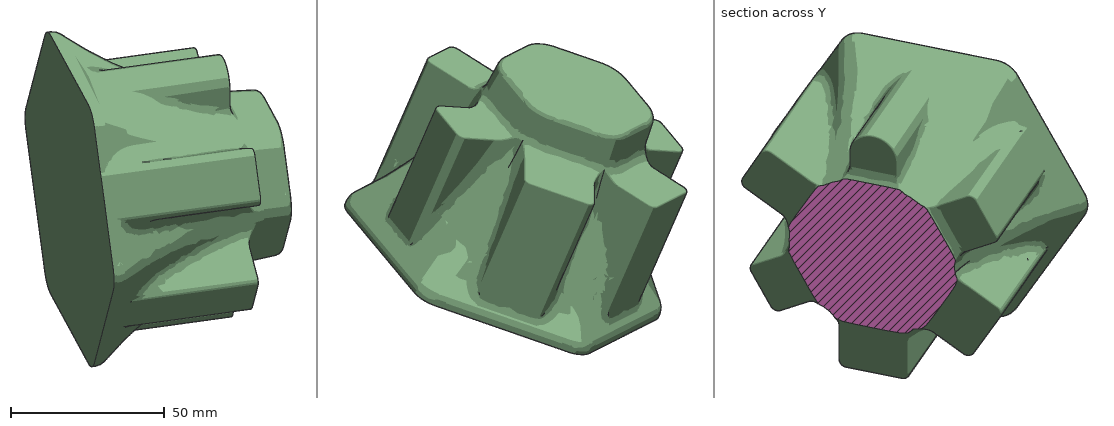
import cadquery as cq
import math

SIDES = 6
SECTOR = 360 / SIDES
HEIGHT = 68.0

RIM_HALF_FLATS = 48.66
RIM_CORNER_RADIUS = 8.56
RIM_HEIGHT = 2.8
RIM_FILLET = 4.5

CORE_TOP = HEIGHT + 1.0
CORE_HALF_FLATS = 25.3
WALL_EXPONENT = 2.1
CORE_SECTIONS = 6

CAP_FOOT_HALF_FLATS = 25.6
CAP_TOP_HALF_FLATS = 24.9
CAP_CORNER_RADIUS = 11.6
CAP_FILLET = 2.7
FLARE_SECTIONS = 5

FINGER_TOP = 52.0
FINGER_REACH = 45.4
PROUD_REACH = 48.8
LOW_REACH = 46.3
FINGER_WIDTH = 18.8
WIDE_WIDTH = 24.5
ROUND_WIDTH = 16.9
FINGER_CORNER_RADIUS = 2.6
TIP_FILLET = 0.8
BLEND_RADIUS = 6.0

FINGERS = [
    (30, PROUD_REACH, FINGER_WIDTH, FINGER_CORNER_RADIUS),
    (90, FINGER_REACH, ROUND_WIDTH, ROUND_WIDTH / 2),
    (150, FINGER_REACH, FINGER_WIDTH, FINGER_CORNER_RADIUS),
    (210, FINGER_REACH, WIDE_WIDTH, FINGER_CORNER_RADIUS),
    (270, LOW_REACH, WIDE_WIDTH, FINGER_CORNER_RADIUS),
    (330, FINGER_REACH, FINGER_WIDTH, FINGER_CORNER_RADIUS),
]

MARGIN = 20.0
TOUCH = 0.001


def plane_at(y):
    """Plane square to the axis: local x is X, local y is Z, and extruding by -h goes toward +Y."""
    return cq.Plane(origin=(0, y, 0), xDir=(1, 0, 0), normal=(0, -1, 0))


def turned(shape, angle):
    """Turn a shape about the axis, from +X toward +Z."""
    return shape.rotate((0, 0, 0), (0, 1, 0), -angle)


def hexagon_prism(y, height, half_flats, corner_radius):
    """Rounded hexagonal prism standing on Y = y, with flats facing +Z and -Z."""
    circumradius = half_flats / math.cos(math.pi / SIDES)
    sketch = cq.Sketch().regularPolygon(circumradius, SIDES, SECTOR / 2)
    sketch = sketch.vertices().fillet(corner_radius)
    return cq.Workplane(plane_at(y)).placeSketch(sketch).extrude(-height)


def hexagon_wire(y, half_flats, corner_radius):
    return hexagon_prism(y, 1, half_flats, corner_radius).faces("<Y").wires().val()


def core_section(fraction):
    """Hexagon of the core wall, at a fraction of the way from the rim to the core top."""
    y = RIM_HEIGHT + fraction * (CORE_TOP - RIM_HEIGHT)
    shrink = (1 - fraction) ** WALL_EXPONENT
    half_flats = CORE_HALF_FLATS + (RIM_HALF_FLATS - CORE_HALF_FLATS) * shrink
    radius = RIM_CORNER_RADIUS + fraction * (CAP_CORNER_RADIUS - RIM_CORNER_RADIUS)
    return hexagon_wire(y, half_flats, radius)


def make_core():
    rim = hexagon_prism(0, RIM_HEIGHT, RIM_HALF_FLATS, RIM_CORNER_RADIUS)
    sections = [core_section(i / CORE_SECTIONS) for i in range(CORE_SECTIONS + 1)]
    core = rim.union(cq.Workplane(cq.Solid.makeLoft(sections)))
    near_rim_top = cq.selectors.BoxSelector(
        (-2 * RIM_HALF_FLATS, RIM_HEIGHT - TOUCH, -2 * RIM_HALF_FLATS),
        (2 * RIM_HALF_FLATS, RIM_HEIGHT + TOUCH, 2 * RIM_HALF_FLATS),
        boundingbox=True,
    )
    return core.edges(near_rim_top).fillet(RIM_FILLET)


def make_finger(angle, reach, width, corner_radius):
    """Finger rib from the axis out to its reach, as tall as the knob."""
    half = width / 2
    straight = reach - corner_radius
    inset = corner_radius * (1 - math.sqrt(0.5))
    outline = (
        cq.Workplane(plane_at(0))
        .moveTo(0, -half)
        .lineTo(straight, -half)
        .threePointArc((reach - inset, inset - half), (reach, corner_radius - half))
    )
    if corner_radius < half:
        outline = outline.lineTo(reach, half - corner_radius)
    outline = outline.threePointArc((reach - inset, half - inset), (straight, half))
    return turned(outline.lineTo(0, half).close().extrude(-HEIGHT), angle)


def make_sector(angle):
    """Wedge that holds one side of the knob, between two corners of the hexagon."""
    length = 2 * RIM_HALF_FLATS
    half = length * math.tan(math.pi / SIDES)
    outline = cq.Workplane(plane_at(-MARGIN)).polyline([(0, 0), (length, -half), (length, half)])
    return turned(outline.close().extrude(-(HEIGHT + 2 * MARGIN)), angle)


def flare_section(fraction):
    """Hexagon of the cap's flared foot, which is a quarter round in profile."""
    spread = BLEND_RADIUS * (1 - math.sqrt(1 - (1 - fraction) ** 2))
    y = FINGER_TOP + fraction * BLEND_RADIUS
    return hexagon_wire(y, CAP_FOOT_HALF_FLATS + spread, CAP_CORNER_RADIUS + spread)


def make_envelope():
    """Everything below the finger tops, plus the flared foot and the cap above them."""
    width = 2 * (RIM_HALF_FLATS + MARGIN)
    below = cq.Workplane(plane_at(-MARGIN)).rect(width, width).extrude(-(FINGER_TOP + MARGIN))
    flare_levels = [math.sin(math.pi / 2 * i / FLARE_SECTIONS) for i in range(FLARE_SECTIONS + 1)]
    flare = cq.Workplane(cq.Solid.makeLoft([flare_section(level) for level in flare_levels]))
    cap_ends = [
        hexagon_wire(FINGER_TOP + BLEND_RADIUS, CAP_FOOT_HALF_FLATS, CAP_CORNER_RADIUS),
        hexagon_wire(HEIGHT, CAP_TOP_HALF_FLATS, CAP_CORNER_RADIUS),
    ]
    cap = cq.Workplane(cq.Solid.makeLoft(cap_ends, True))
    cap = cap.faces(">Y").edges().fillet(CAP_FILLET)
    return below.union(flare).union(cap)


def edges_on(solid, skin):
    """Edges of a solid whose middle lies on the given skin."""
    return [
        edge
        for edge in solid.Edges()
        if cq.Vertex.makeVertex(*edge.positionAt(0.5).toTuple()).distance(skin) < TOUCH
    ]


def make_side(core, envelope, finger_size):
    """One sector of the knob: the core with a finger blended into it and cut to height."""
    finger = make_finger(*finger_size)
    core_skin = core.val().Shells()[0]
    finger_skin = finger.val().Shells()[0]
    joined = core.union(finger).val()
    on_core = edges_on(joined, core_skin)
    seams = [
        edge
        for edge in edges_on(joined, finger_skin)
        if edge in on_core and TOUCH < edge.Center().y < HEIGHT - TOUCH
    ]
    blended = cq.Workplane(joined.fillet(BLEND_RADIUS, seams))
    side = blended.intersect(make_sector(finger_size[0])).intersect(envelope).solids().val()
    tip_edges = [
        edge
        for edge in edges_on(side, finger_skin)
        if abs(edge.BoundingBox().ymin - FINGER_TOP) < TOUCH
        and abs(edge.BoundingBox().ymax - FINGER_TOP) < TOUCH
    ]
    return cq.Workplane(side.fillet(TIP_FILLET, tip_edges))


def make_knob():
    core = make_core()
    envelope = make_envelope()
    knob = make_side(core, envelope, FINGERS[0])
    for finger_size in FINGERS[1:]:
        knob = knob.union(make_side(core, envelope, finger_size))
    return knob


result = make_knob()